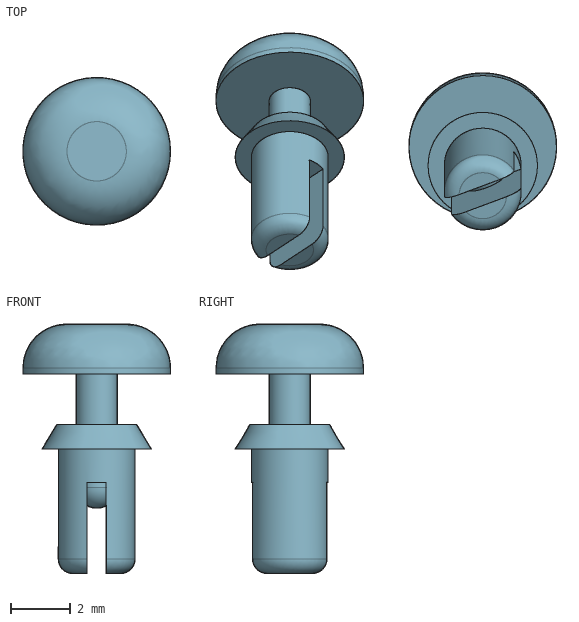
import cadquery as cq

total_height = 8.45
head_height = 1.7
head_band = 0.2
collar_top = 5.05
collar_bottom = 4.22
slot_top = 3.09
pin_tip = 2.21

head_diameter = 5.0
pin_diameter = 1.4
sleeve_diameter = 2.6
collar_top_diameter = 2.7
collar_bottom_diameter = 3.7
slot_width = 0.64
sleeve_end_fillet = 0.5

head_radius = head_diameter / 2
head_fillet = head_height - head_band
head_bottom = total_height - head_height
pin_radius = pin_diameter / 2


def make_shank(bottom, top):
    """Cylinder on the Z axis with a hemispherical lower end."""
    ball_centre = bottom + pin_radius
    barrel = cq.Workplane("XY", origin=(0, 0, ball_centre)).circle(pin_radius).extrude(top - ball_centre)
    ball = cq.Workplane("XY", origin=(0, 0, ball_centre)).sphere(pin_radius)
    return barrel.union(ball)


def make_pin():
    """Push pin: domed head on a round-ended shank."""
    head = (
        cq.Workplane("XY", origin=(0, 0, head_bottom))
        .circle(head_radius)
        .extrude(head_height)
        .faces(">Z")
        .edges()
        .fillet(head_fillet)
    )
    return head.union(make_shank(pin_tip, head_bottom))


def make_sleeve():
    """Split sleeve with a conical collar, recessed to receive the pin shank."""
    barrel = (
        cq.Workplane("XY")
        .circle(sleeve_diameter / 2)
        .extrude(collar_bottom)
        .faces("<Z")
        .edges()
        .fillet(sleeve_end_fillet)
    )
    collar = (
        cq.Workplane("XY", origin=(0, 0, collar_bottom))
        .circle(collar_bottom_diameter / 2)
        .workplane(offset=collar_top - collar_bottom)
        .circle(collar_top_diameter / 2)
        .loft(ruled=True)
    )
    slot = cq.Workplane("XY").rect(slot_width, sleeve_diameter * 2).extrude(slot_top)
    recess = make_shank(pin_tip, collar_top)
    return barrel.union(collar).cut(slot).cut(recess)


pin = make_pin()
sleeve = make_sleeve()

result = cq.Compound.makeCompound([pin.val(), sleeve.val()])